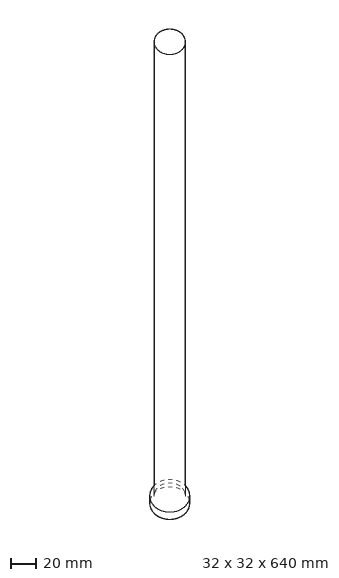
import cadquery as cq

total_length = 640.0
head_diameter = 32.0
head_height = 10.0
shank_diameter = 25.0
root_fillet = 0.2

head = cq.Workplane("XY").circle(head_diameter / 2).extrude(head_height)
shank = cq.Workplane("XY").circle(shank_diameter / 2).extrude(total_length)
pin = head.union(shank)

root_edge = cq.selectors.RadiusNthSelector(0)
result = pin.faces("<Z[1]").edges(root_edge).fillet(root_fillet)